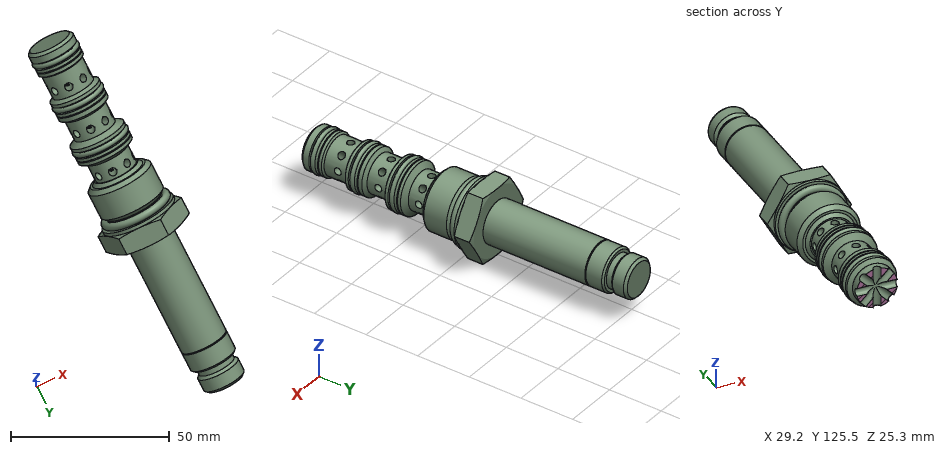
import cadquery as cq
import math


LENGTH = 125.5

STEM_DIA = 14.3
HOLE_DIA = 2.6
HOLES_PER_ROW = 8
HOLE_ROWS = 3
FIRST_HOLE_ROW = 13.9
HOLE_ROW_PITCH = 15.7

NOSE_LAND_DIA = 15.8
NOSE_LAND_TOP = 8.2
NOSE_LAND_TOP_BEVEL = 0.5
NOSE_CHAMFER = 0.94

MIDDLE_LAND_DIA = 17.3
MIDDLE_LAND_START = 18.0
MIDDLE_LAND_END = 24.3
MIDDLE_LAND_BEVEL = 0.94

UPPER_LAND_DIA = 19.0
UPPER_LAND_START = 33.9
UPPER_LAND_END = 39.9
UPPER_LAND_BEVEL = 1.4

NOSE_GROOVE_START = 3.3
MIDDLE_GROOVE_START = 19.1
UPPER_GROOVE_START = 35.0
GROOVE_WIDTH = 3.8
GROOVE_DEPTH = 1.32
SEAL_SECTION_DIA = 1.7
SEAL_OFFSET = 1.3
SEAL_SINK = 0.06
BACKUP_OFFSET = 2.4
BACKUP_WIDTH = 1.0

THREAD_DIA = 22.1
THREAD_START = 50.1
THREAD_END = 58.9
THREAD_CHAMFER = 1.4
PILOT_DIA = 17.6
PILOT_BEVEL = 1.1

HEX_FLATS = 25.3
HEX_START = 64.0
HEX_END = 70.8
HEX_CHAMFER_HEIGHT = 0.5
WASHER_DIA = 25.1
WASHER_START = 62.9
NECK_DIA = 19.0
PORT_SEAL_SECTION_DIA = 2.6

TUBE_DIA = 15.8
TUBE_END = 117.3
TUBE_CHAMFER = 0.6
SEAM_DIA = 15.7
SEAM_START = 110.2
SEAM_WIDTH = 0.4
BUTTON_DIA = 14.3
BUTTON_START = 120.3
BUTTON_NECK_DIA = 12.4
BUTTON_CHAMFER = 0.9

LANDS = [
    (NOSE_LAND_DIA, NOSE_GROOVE_START),
    (MIDDLE_LAND_DIA, MIDDLE_GROOVE_START),
    (UPPER_LAND_DIA, UPPER_GROOVE_START),
]


def turned(points):
    """Revolve a closed (radius, height) outline about the Y axis."""
    return cq.Workplane("XY").polyline(points).close().revolve(360, (0, 0, 0), (0, 1, 0))


def tube_section(inner_dia, outer_dia, start, width):
    """Plain ring of rectangular section."""
    inner = inner_dia / 2
    outer = outer_dia / 2
    end = start + width
    return turned([(inner, start), (outer, start), (outer, end), (inner, end)])


def land(dia, start, end, bevel):
    """Raised land whose two flanks slope down to the stem."""
    stem = STEM_DIA / 2
    rim = dia / 2
    return turned([
        (0, start - bevel), (stem, start - bevel), (rim, start),
        (rim, end), (stem, end + bevel), (0, end + bevel),
    ])


def seal_bead(seat_dia, section_dia, centre):
    """O-ring bead slightly sunk into the cylinder of seat_dia."""
    centre_radius = seat_dia / 2 + section_dia / 2 - SEAL_SINK
    return (
        cq.Workplane("XY", origin=(centre_radius, centre, 0)).transformed(rotate=(0, 0, 180))
        .circle(section_dia / 2)
        .revolve(360, (centre_radius, 0, 0), (centre_radius, 1, 0))
    )


def groove_floor(land_dia):
    return land_dia - 2 * GROOVE_DEPTH


def make_stem():
    """Stem with the nose land, chamfered at the nose."""
    nose = NOSE_LAND_DIA / 2
    stem = STEM_DIA / 2
    return turned([
        (0, 0), (nose - NOSE_CHAMFER, 0), (nose, NOSE_CHAMFER), (nose, NOSE_LAND_TOP),
        (stem, NOSE_LAND_TOP + NOSE_LAND_TOP_BEVEL), (stem, THREAD_START), (0, THREAD_START),
    ])


def make_threaded_section():
    """Pilot step, chamfered thread cylinder, neck and washer face."""
    thread = THREAD_DIA / 2
    thread_rim = thread - THREAD_CHAMFER
    pilot = PILOT_DIA / 2
    neck = NECK_DIA / 2
    washer = WASHER_DIA / 2
    pilot_end = THREAD_START - THREAD_CHAMFER
    pilot_start = pilot_end - PILOT_BEVEL
    neck_start = THREAD_END + THREAD_CHAMFER
    return turned([
        (0, pilot_start), (pilot - PILOT_BEVEL, pilot_start), (pilot, pilot_end),
        (thread_rim, pilot_end), (thread, THREAD_START), (thread, THREAD_END),
        (thread_rim, neck_start), (neck, neck_start), (neck, WASHER_START),
        (washer, WASHER_START), (washer, HEX_START), (0, HEX_START),
    ])


def make_hexagon():
    """Hexagon with corners on the X axis and both ends chamfered by a cone."""
    corner_dia = HEX_FLATS / math.cos(math.pi / 6)
    prism = (
        cq.Workplane("XZ", origin=(0, HEX_START, 0)).polygon(6, corner_dia)
        .extrude(HEX_START - HEX_END)
    )
    face = HEX_FLATS / 2
    corner = corner_dia / 2
    envelope = turned([
        (0, HEX_START), (face, HEX_START), (corner, HEX_START + HEX_CHAMFER_HEIGHT),
        (corner, HEX_END - HEX_CHAMFER_HEIGHT), (face, HEX_END), (0, HEX_END),
    ])
    return prism.intersect(envelope)


def make_solenoid_tube():
    """Tube with a fine seam groove, ending in a necked button."""
    tube = TUBE_DIA / 2
    seam = SEAM_DIA / 2
    button = BUTTON_DIA / 2
    neck = BUTTON_NECK_DIA / 2
    seam_end = SEAM_START + SEAM_WIDTH
    neck_end = BUTTON_START - (button - neck)
    return turned([
        (0, HEX_END), (tube, HEX_END), (tube, SEAM_START), (seam, SEAM_START),
        (seam, seam_end), (tube, seam_end), (tube, TUBE_END - TUBE_CHAMFER),
        (tube - TUBE_CHAMFER, TUBE_END), (neck, TUBE_END), (neck, neck_end),
        (button, BUTTON_START), (button, LENGTH - BUTTON_CHAMFER),
        (button - BUTTON_CHAMFER, LENGTH), (0, LENGTH),
    ])


def drill_cross_holes(solid):
    """Rows of holes drilled straight through the stem."""
    for row in range(HOLE_ROWS):
        height = FIRST_HOLE_ROW + row * HOLE_ROW_PITCH
        drill = (
            cq.Workplane("XY", origin=(0, height, 0)).circle(HOLE_DIA / 2)
            .extrude(STEM_DIA, both=True)
        )
        for index in range(HOLES_PER_ROW // 2):
            angle = index * 360 / HOLES_PER_ROW
            solid = solid.cut(drill.rotate((0, 0, 0), (0, 1, 0), angle))
    return solid


def make_valve_body():
    """One-piece valve body with its O-ring beads."""
    body = make_stem()
    body = body.union(land(MIDDLE_LAND_DIA, MIDDLE_LAND_START, MIDDLE_LAND_END, MIDDLE_LAND_BEVEL))
    body = body.union(land(UPPER_LAND_DIA, UPPER_LAND_START, UPPER_LAND_END, UPPER_LAND_BEVEL))
    body = body.union(make_threaded_section())
    body = body.union(make_hexagon())
    body = body.union(make_solenoid_tube())
    for land_dia, groove_start in LANDS:
        floor = groove_floor(land_dia)
        body = body.cut(tube_section(floor, land_dia + GROOVE_DEPTH, groove_start, GROOVE_WIDTH))
        body = body.union(seal_bead(floor, SEAL_SECTION_DIA, groove_start + SEAL_OFFSET))
    port_seal_centre = WASHER_START - PORT_SEAL_SECTION_DIA / 2 + SEAL_SINK
    body = body.union(seal_bead(NECK_DIA, PORT_SEAL_SECTION_DIA, port_seal_centre))
    return drill_cross_holes(body)


def make_backup_ring(land_dia, groove_start):
    """Flat backup ring on a groove floor, above the O-ring bead and flush with its land."""
    start = groove_start + BACKUP_OFFSET
    return tube_section(groove_floor(land_dia), land_dia, start, BACKUP_WIDTH)


valve_body = make_valve_body()
backup_rings = [make_backup_ring(dia, start) for dia, start in LANDS]

result = cq.Compound.makeCompound([valve_body.val(), *[ring.val() for ring in backup_rings]])